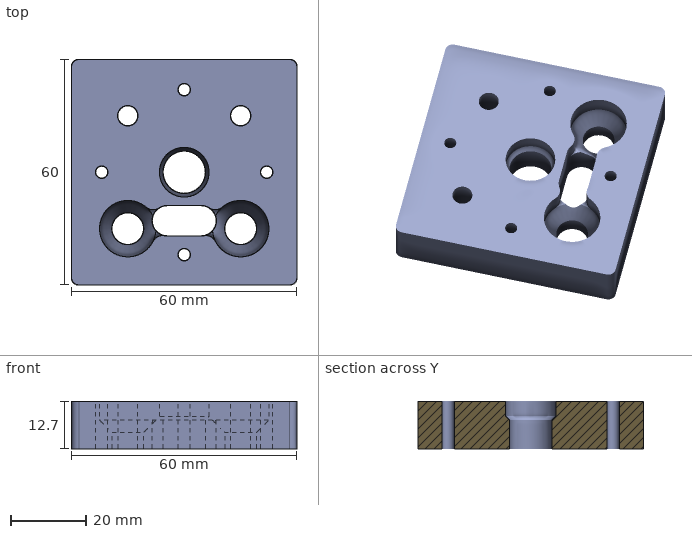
import cadquery as cq
import math

plate_size = 60.0
plate_thickness = 12.7
corner_radius = 2.0

small_hole_square = 31.0
small_hole_diameter = 3.2
small_hole_offset = small_hole_square / math.sqrt(2)

pattern_pitch = 30.0
mount_hole_diameter = 5.3
mount_hole_offset = pattern_pitch / 2

centre_bore_diameter = 13.2
centre_bore_depth = 4.0
centre_hole_diameter = 11.2

seat_bore_diameter = 15.0
seat_bore_depth = 5.0
seat_hole_diameter = 8.4
seat_offset = pattern_pitch / 2

slot_length = 17.0
slot_width = 8.0
slot_centre_y = -12.9
neck_fillet = 3.0


def make_plate():
    """Square plate with its underside at Z = 0."""
    plate = cq.Workplane("XY").box(plate_size, plate_size, plate_thickness, centered=(True, True, False))
    return plate.edges("|Z").fillet(corner_radius)


def through_holes(points, diameter):
    """Cylinders that pass through the plate at the given points."""
    return cq.Workplane("XY").pushPoints(points).circle(diameter / 2).extrude(plate_thickness)


def stepped_hole(x, y, bore_diameter, bore_depth, hole_diameter):
    """Bore from the top face that narrows through a 45 degree cone to a through hole."""
    bore_radius = bore_diameter / 2
    hole_radius = hole_diameter / 2
    cone_top = plate_thickness - bore_depth
    cone_bottom = cone_top - (bore_radius - hole_radius)
    profile = (
        cq.Workplane("XZ")
        .lineTo(hole_radius, 0)
        .lineTo(hole_radius, cone_bottom)
        .lineTo(bore_radius, cone_top)
        .lineTo(bore_radius, plate_thickness)
        .lineTo(0, plate_thickness)
        .close()
    )
    return profile.revolve(360, (0, 0, 0), (0, 1, 0)).translate((x, y, 0))


def through_slot():
    """Round-ended slot along X."""
    return cq.Workplane("XY").center(0, slot_centre_y).slot2D(slot_length, slot_width).extrude(plate_thickness)


def neck():
    """Opening where the left seat bore meets the slot end, with its two cusps rounded off.

    Each rounding arc is tangent to the seat bore and to the slot end. The neck is laid out along
    the line from the seat axis (origin) to the slot end axis, then turned into place.
    """
    seat_radius = seat_bore_diameter / 2
    slot_radius = slot_width / 2
    slot_end_x = -(slot_length - slot_width) / 2
    span_x = slot_end_x + seat_offset
    span_y = slot_centre_y + seat_offset
    span = math.hypot(span_x, span_y)
    tilt = math.degrees(math.atan2(span_y, span_x))

    seat_to_arc = seat_radius + neck_fillet
    slot_to_arc = slot_radius + neck_fillet
    arc_x = (span**2 + seat_to_arc**2 - slot_to_arc**2) / (2 * span)
    arc_y = math.sqrt(seat_to_arc**2 - arc_x**2)

    seat_tangent_x = arc_x * seat_radius / seat_to_arc
    seat_tangent_y = arc_y * seat_radius / seat_to_arc
    slot_tangent_x = span + (arc_x - span) * slot_radius / slot_to_arc
    slot_tangent_y = arc_y * slot_radius / slot_to_arc
    arc_low_y = arc_y - neck_fillet

    return (
        cq.Workplane("XY")
        .moveTo(seat_tangent_x, seat_tangent_y)
        .threePointArc((arc_x, arc_low_y), (slot_tangent_x, slot_tangent_y))
        .lineTo(slot_tangent_x, -slot_tangent_y)
        .threePointArc((arc_x, -arc_low_y), (seat_tangent_x, -seat_tangent_y))
        .close()
        .extrude(seat_bore_depth)
        .rotate((0, 0, 0), (0, 0, 1), tilt)
        .translate((-seat_offset, -seat_offset, plate_thickness - seat_bore_depth))
    )


small_hole_points = [
    (small_hole_offset, 0),
    (-small_hole_offset, 0),
    (0, small_hole_offset),
    (0, -small_hole_offset),
]
mount_hole_points = [(side * mount_hole_offset, mount_hole_offset) for side in (-1, 1)]

result = make_plate()
result = result.cut(through_holes(small_hole_points, small_hole_diameter))
result = result.cut(through_holes(mount_hole_points, mount_hole_diameter))
result = result.cut(stepped_hole(0, 0, centre_bore_diameter, centre_bore_depth, centre_hole_diameter))
for side in (-1, 1):
    seat = stepped_hole(
        side * seat_offset, -seat_offset, seat_bore_diameter, seat_bore_depth, seat_hole_diameter
    )
    result = result.cut(seat)
result = result.cut(through_slot())
result = result.cut(neck())
result = result.cut(neck().mirror("YZ"))